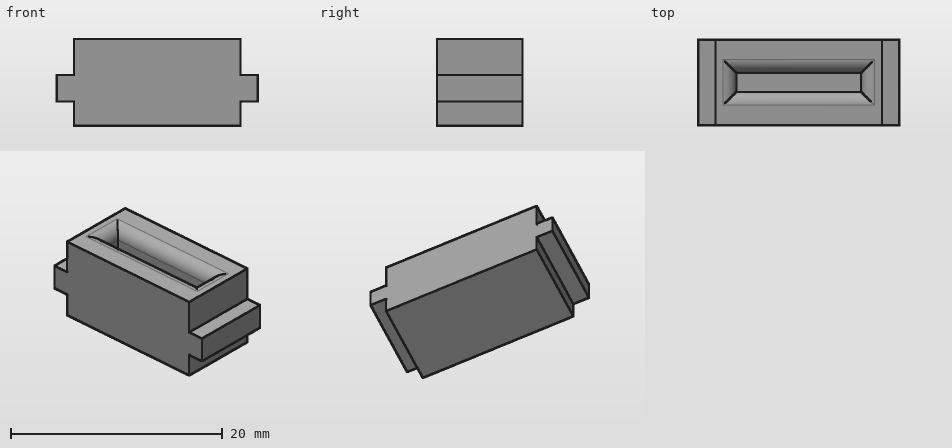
import cadquery as cq

overall_length = 19.0
depth = 8.1
height = 8.2
tab_length = 1.63
tab_height = 2.53
tab_bottom = 2.3

mouth_length = 14.3
mouth_width = 4.31
flare_radius = 1.25
pocket_depth = 2.5

body_length = overall_length - 2 * tab_length
throat_length = mouth_length - 2 * flare_radius
throat_width = mouth_width - 2 * flare_radius


def base_block(length, block_height, bottom):
    """Full-depth block centred in X and Y, standing on the given level."""
    return (
        cq.Workplane("XY")
        .workplane(offset=bottom)
        .box(length, depth, block_height, centered=(True, True, False))
    )


def flare_prism(plane, throat, length):
    """Bar whose sides round over convexly from the throat out to the mouth."""
    start = height - flare_radius
    half_throat = throat / 2
    half_mouth = half_throat + flare_radius
    bend = flare_radius * (1 - 0.5 ** 0.5)
    return (
        cq.Workplane(plane)
        .moveTo(-half_throat, start)
        .lineTo(half_throat, start)
        .threePointArc((half_throat + bend, height - bend), (half_mouth, height))
        .lineTo(-half_mouth, height)
        .threePointArc((-half_throat - bend, height - bend), (-half_throat, start))
        .close()
        .extrude(length / 2, both=True)
    )


def pocket():
    """Straight throat plus a rounded flare with mitred corners."""
    throat = (
        cq.Workplane("XY")
        .workplane(offset=height - pocket_depth)
        .rect(throat_length, throat_width)
        .extrude(pocket_depth)
    )
    along_x = flare_prism("XZ", throat_length, mouth_width)
    along_y = flare_prism("YZ", throat_width, mouth_length)
    return throat.union(along_x.intersect(along_y))


body = base_block(body_length, height, 0)
tabs = base_block(overall_length, tab_height, tab_bottom)
result = body.union(tabs).cut(pocket())